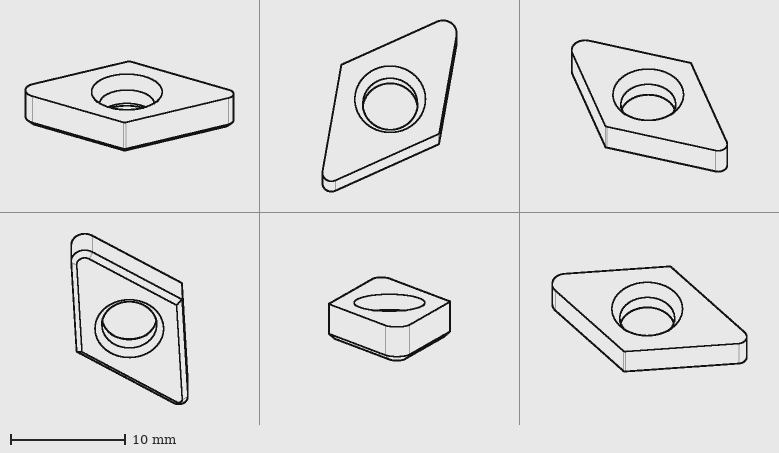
import cadquery as cq
import math

width = 9.52
thickness = 3.17
acute_angle = math.radians(55)
left_nose_radius = 1.2
right_nose_radius = 0.8
obtuse_radius = 0.2
bottom_chamfer = 0.5

hole_diameter = 4.8
top_sink_diameter = 6.2
top_sink_half_angle = math.radians(30)
bottom_sink = 0.61

side_length = width / math.sin(acute_angle)
slant_run = width / math.tan(acute_angle)
acute_x = (side_length + slant_run) / 2
obtuse_x = (side_length - slant_run) / 2


def nosed_rhombus():
    """Rhombic prism with rounded acute corners and sharp obtuse corners."""
    corners = [
        (-acute_x, -width / 2),
        (obtuse_x, -width / 2),
        (acute_x, width / 2),
        (-obtuse_x, width / 2),
    ]
    prism = cq.Workplane("XY").polyline(corners).close().extrude(thickness)
    prism = prism.edges("|Z").edges("<X").fillet(left_nose_radius)
    return prism.edges("|Z").edges(">X").fillet(right_nose_radius)


def obtuse_edges(prism):
    """Vertical edges at the two obtuse corners."""
    reach = obtuse_radius
    lower = cq.selectors.BoxSelector(
        (obtuse_x - reach, -width / 2 - reach, 0),
        (obtuse_x + reach, -width / 2 + reach, thickness),
    )
    upper = cq.selectors.BoxSelector(
        (-obtuse_x - reach, width / 2 - reach, 0),
        (-obtuse_x + reach, width / 2 + reach, thickness),
    )
    return prism.edges("|Z").edges(lower + upper)


def make_plate():
    """Chamfer runs to a sharp mitre below the rounded obtuse corners."""
    sharp = nosed_rhombus()
    rounded = obtuse_edges(sharp).fillet(obtuse_radius)
    chamfered = sharp.faces("<Z").chamfer(bottom_chamfer)
    return chamfered.intersect(rounded)


def make_hole():
    """Revolved cutter: cylinder with a conical mouth at each end."""
    hole_radius = hole_diameter / 2
    top_radius = top_sink_diameter / 2
    top_sink_depth = (top_radius - hole_radius) / math.tan(top_sink_half_angle)
    profile = [
        (0, 0),
        (hole_radius + bottom_sink, 0),
        (hole_radius, bottom_sink),
        (hole_radius, thickness - top_sink_depth),
        (top_radius, thickness),
        (0, thickness),
    ]
    return cq.Workplane("XZ").polyline(profile).close().revolve(360, (0, 0), (0, 1))


result = make_plate().cut(make_hole())